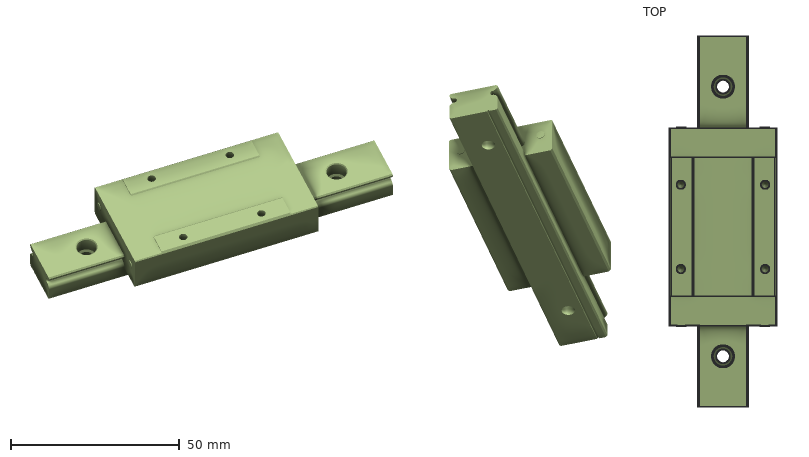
import cadquery as cq
import math


rail_length = 110.0
rail_width = 15.0
rail_height = 9.5
rail_top_chamfer = 0.4
rail_bottom_chamfer = 0.5
groove_z = 6.75
groove_half_height = 2.25
flank_radius = 1.3
flank_angle = 58.0
slot_half_height = 0.72
slot_bottom_x = 5.15
mark_radius = 0.35
mark_x = -4.6

rail_hole_spacing = 80.0
rail_hole_diameter = 4.0
rail_counterbore_diameter = 6.0
rail_counterbore_depth = 4.5
rail_counterbore_chamfer = 0.3

carriage_center_y = -1.6
carriage_width = 32.0
carriage_length = 58.6
carriage_bottom_z = 4.0
carriage_top_z = 16.0
carriage_chamfer = 0.6
block_length = 41.2
cap_length = (carriage_length - block_length) / 2
panel_drop = 0.3
cap_top_z = carriage_top_z - panel_drop
panel_half_width = 9.1
panel_side_run = 0.4

thread_spacing = 25.0
thread_diameter = 2.5
thread_depth = 4.0
drill_tip_angle = 118.0

screw_spacing = 24.8
screw_z = 10.7
screw_diameter = 2.6
screw_height = 0.2


def extrude_along_y(points, y_center, length):
    """Extrude a closed X-Z outline by `length` along Y, centred on `y_center`."""
    plane = cq.Workplane("XZ", origin=(0, y_center + length / 2, 0))
    return plane.polyline(points).close().extrude(length)


def revolved_about_z(points):
    """Solid of revolution about Z from a closed (radius, z) outline."""
    return cq.Workplane("XZ").polyline(points).close().revolve(360, (0, 0, 0), (0, 1, 0)).val()


def mirrored(right_half):
    """Close an outline given by its +X half, listed from bottom to top."""
    return right_half + [(-x, z) for x, z in reversed(right_half)]


def rail_bar():
    half = rail_width / 2
    turn = math.radians(flank_angle)
    flank_x = half - flank_radius * (1 - math.cos(turn))
    flank_height = groove_half_height - flank_radius * math.sin(turn)
    mouth_x = flank_x - (flank_height - slot_half_height) * math.tan(turn)
    right_half = (
        cq.Workplane("XZ", origin=(0, rail_length / 2, 0))
        .lineTo(half - rail_bottom_chamfer, 0)
        .lineTo(half, rail_bottom_chamfer)
        .lineTo(half, groove_z - groove_half_height)
        .tangentArcPoint((flank_x, groove_z - flank_height), relative=False)
        .lineTo(mouth_x, groove_z - slot_half_height)
        .threePointArc((slot_bottom_x, groove_z), (mouth_x, groove_z + slot_half_height))
        .lineTo(flank_x, groove_z + flank_height)
        .threePointArc(
            (
                half - flank_radius * (1 - math.cos(turn / 2)),
                groove_z + groove_half_height - flank_radius * math.sin(turn / 2),
            ),
            (half, groove_z + groove_half_height),
        )
        .lineTo(half, rail_height - rail_top_chamfer)
        .lineTo(half - rail_top_chamfer, rail_height)
        .lineTo(0, rail_height)
    )
    return right_half.mirrorY().extrude(rail_length)


def make_rail():
    mark = (
        cq.Workplane("XZ", origin=(mark_x, rail_length / 2, 0))
        .circle(mark_radius)
        .extrude(rail_length)
    )
    screw_hole = revolved_about_z([
        (0, 0),
        (rail_counterbore_diameter / 2 + rail_counterbore_chamfer, 0),
        (rail_counterbore_diameter / 2, -rail_counterbore_chamfer),
        (rail_counterbore_diameter / 2, -rail_counterbore_depth),
        (rail_hole_diameter / 2, -rail_counterbore_depth),
        (rail_hole_diameter / 2, -rail_height),
        (0, -rail_height),
    ])
    screw_holes = (
        cq.Workplane("XY", origin=(0, 0, rail_height))
        .rarray(1, rail_hole_spacing, 1, 2)
        .eachpoint(lambda place: screw_hole.moved(place))
    )
    return rail_bar().cut(mark).cut(screw_holes)


def carriage_bar(y_center, length):
    """Chamfered bar of the carriage section, with the rail's section cut out of it."""
    half = carriage_width / 2
    right_half = [
        (half - carriage_chamfer, carriage_bottom_z),
        (half, carriage_bottom_z + carriage_chamfer),
        (half, carriage_top_z - carriage_chamfer),
        (half - carriage_chamfer, carriage_top_z),
    ]
    return extrude_along_y(mirrored(right_half), y_center, length).cut(rail_bar())


def make_block():
    panel_recess = extrude_along_y(
        mirrored([
            (panel_half_width - panel_side_run, cap_top_z),
            (panel_half_width, carriage_top_z),
        ]),
        carriage_center_y,
        block_length,
    )
    radius = thread_diameter / 2
    tip_length = radius / math.tan(math.radians(drill_tip_angle / 2))
    drill = revolved_about_z([
        (0, 0),
        (radius, 0),
        (radius, -thread_depth),
        (0, -thread_depth - tip_length),
    ])
    drills = (
        cq.Workplane("XY", origin=(0, carriage_center_y, carriage_top_z))
        .rarray(thread_spacing, thread_spacing, 2, 2)
        .eachpoint(lambda place: drill.moved(place))
    )
    return carriage_bar(carriage_center_y, block_length).cut(panel_recess).cut(drills)


def make_end_cap(side):
    """End cap on the +Y (side = 1) or -Y (side = -1) end of the block."""
    y_center = carriage_center_y + side * (block_length + cap_length) / 2
    outer_y = carriage_center_y + side * carriage_length / 2
    above_cap = cq.Workplane("XY", origin=(0, y_center, cap_top_z)).box(
        carriage_width, cap_length, panel_drop, centered=(True, True, False)
    )
    screws = (
        cq.Workplane("XZ", origin=(0, outer_y, screw_z))
        .rarray(screw_spacing, 1, 2, 1)
        .circle(screw_diameter / 2)
        .extrude(-side * screw_height)
    )
    return carriage_bar(y_center, cap_length).cut(above_cap).union(screws)


rail = make_rail()
block = make_block()
end_caps = [make_end_cap(side) for side in (1, -1)]

result = cq.Compound.makeCompound(
    [rail.val(), block.val(), *[cap.val() for cap in end_caps]]
)